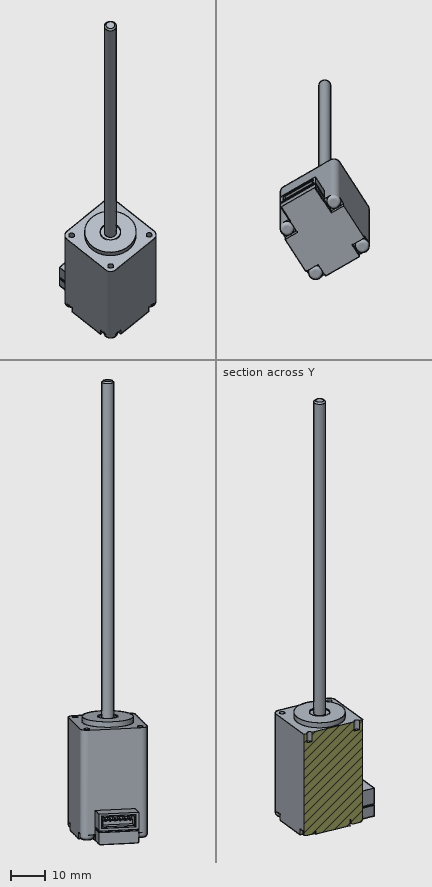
import cadquery as cq

body_width = 20.0
body_height = 33.3
half_width = body_width / 2
screw_inset = 2.0
half_pitch = half_width - screw_inset
mounting_hole_diameter = 1.6
mounting_hole_depth = 3.0

notch_size = 4.2
notch_height = 1.9
screw_head_diameter = 2 * screw_inset
screw_head_bottom = 0.3
screw_head_rounding = 1.0

boss_diameter = 15.0
boss_height = 1.6
boss_top = body_height + boss_height
recess_diameter = 6.0
recess_depth = 0.4
shaft_diameter = 3.5
shaft_chamfer = 0.5
shaft_top = 135.2

connector_length = 5.0
connector_width = 11.9
connector_height = 9.2
connector_face = -half_width - connector_length
connector_bevel = 0.3
groove_bottom = 3.7
groove_top = 4.0
groove_depth = 0.3

socket_width = 9.3
socket_bottom = 5.3
socket_top = 8.1
socket_depth = 2.7
mouth_step = 0.4
mouth_width = socket_width + 2 * mouth_step
mouth_bottom = socket_bottom - mouth_step
mouth_top = socket_top + mouth_step
mouth_depth = 0.3
ledge_height = 6.5
upper_socket_depth = 4.0
pin_count = 6
pin_pitch = 1.5
pin_diameter = 0.6
pin_height = 6.9
pin_length = 2.7


def box_between(x_range, width, z_range):
    """Box spanning the X and Z ranges, centred on Y = 0."""
    length = x_range[1] - x_range[0]
    height = z_range[1] - z_range[0]
    return (
        cq.Workplane("XY")
        .box(length, width, height, centered=(False, True, False))
        .translate((x_range[0], 0, z_range[0]))
    )


def cylinder(diameter, bottom, top):
    """Upright cylinder on the Z axis."""
    return cq.Workplane("XY").workplane(offset=bottom).circle(diameter / 2).extrude(top - bottom)


def make_body():
    body = cq.Workplane("XY").rect(body_width, body_width).extrude(body_height)
    body = body.edges("|Z").fillet(screw_inset)

    notch_centre_spacing = body_width - notch_size
    notches = (
        cq.Workplane("XY")
        .rect(notch_centre_spacing, notch_centre_spacing, forConstruction=True)
        .vertices()
        .rect(notch_size, notch_size)
        .extrude(notch_height)
    )
    holes = (
        cq.Workplane("XY")
        .workplane(offset=body_height - mounting_hole_depth)
        .rect(2 * half_pitch, 2 * half_pitch, forConstruction=True)
        .vertices()
        .circle(mounting_hole_diameter / 2)
        .extrude(mounting_hole_depth)
    )
    return body.cut(notches).cut(holes)


def add_screw_heads(body):
    head = cylinder(screw_head_diameter, screw_head_bottom, notch_height)
    head = head.faces("<Z").edges().fillet(screw_head_rounding)
    for x in (-half_pitch, half_pitch):
        for y in (-half_pitch, half_pitch):
            body = body.union(head.translate((x, y, 0)))
    return body


def make_boss_and_shaft():
    recess_floor = boss_top - recess_depth
    boss = cylinder(boss_diameter, body_height, boss_top)
    recess = cylinder(recess_diameter, recess_floor, boss_top)
    shaft = cylinder(shaft_diameter, recess_floor, shaft_top).faces(">Z").chamfer(shaft_chamfer)
    return boss.cut(recess).union(shaft)


def make_connector():
    outer_range = (connector_face, -half_width)
    connector = box_between(outer_range, connector_width, (0, connector_height))

    connector = connector.faces("<Z").edges("|X").chamfer(connector_bevel)

    groove_range = (groove_bottom, groove_top)
    core_range = (connector_face + groove_depth, -half_width)
    groove_core = box_between(core_range, connector_width - 2 * groove_depth, groove_range)
    connector = connector.cut(box_between(outer_range, connector_width, groove_range).cut(groove_core))

    socket_range = (connector_face, connector_face + socket_depth)
    socket = box_between(socket_range, socket_width, (socket_bottom, socket_top))
    mouth_range = (connector_face, connector_face + mouth_depth)
    mouth = box_between(mouth_range, mouth_width, (mouth_bottom, mouth_top))
    upper_range = (connector_face, connector_face + upper_socket_depth)
    upper_socket = box_between(upper_range, socket_width, (ledge_height, socket_top))
    connector = connector.cut(socket).cut(mouth).cut(upper_socket)

    first_pin = -pin_pitch * (pin_count - 1) / 2
    pin_positions = [(first_pin + i * pin_pitch, pin_height) for i in range(pin_count)]
    pins = (
        cq.Workplane("YZ", origin=(upper_range[1] - pin_length, 0, 0))
        .pushPoints(pin_positions)
        .circle(pin_diameter / 2)
        .extrude(pin_length)
    )
    return connector.union(pins)


motor = add_screw_heads(make_body())
result = motor.union(make_boss_and_shaft()).union(make_connector())